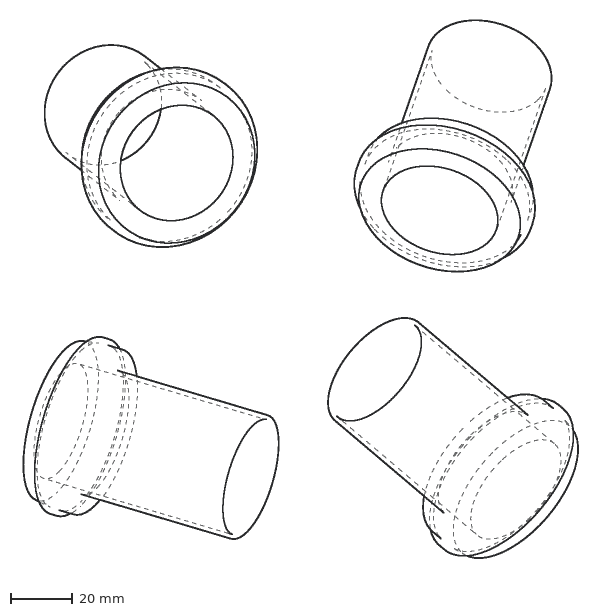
import cadquery as cq

total_length = 69.0
bore_radius = 39.0 / 2
tube_radius = 42.0 / 2
shoulder_radius = 56.0 / 2
collar_radius = 60.0 / 2

shoulder_start = 55.05
collar_start = 60.5
collar_end = 63.5
cone_large_radius = 27.9
cone_small_radius = 27.05

edge_round = 0.3
bore_edge_round = 0.15
root_fillet = 0.5
collar_root_fillet = 0.3

profile = [
    (0, bore_radius),
    (0, tube_radius),
    (shoulder_start, tube_radius),
    (shoulder_start, shoulder_radius),
    (collar_start, shoulder_radius),
    (collar_start, collar_radius),
    (collar_end, collar_radius),
    (collar_end, cone_large_radius),
    (total_length, cone_small_radius),
    (total_length, bore_radius),
]
body = cq.Workplane("XY").polyline(profile).close().revolve(360, (0, 0, 0), (1, 0, 0))


def fillet_rings(solid, rings, fillet_radius):
    """Fillet the circular edges lying at the given (x, radius) positions."""
    tolerance = 0.01

    def is_listed(edge):
        if edge.geomType() != "CIRCLE":
            return False
        x = edge.Center().x
        radius = edge.radius()
        return any(abs(x - rx) < tolerance and abs(radius - rr) < tolerance for rx, rr in rings)

    edges = solid.edges().filter(is_listed)
    return edges.fillet(fillet_radius)


outer_corners = [
    (0, tube_radius),
    (shoulder_start, shoulder_radius),
    (collar_start, collar_radius),
    (collar_end, collar_radius),
]
body = fillet_rings(body, outer_corners, edge_round)

step_roots = [
    (shoulder_start, tube_radius),
    (collar_end, cone_large_radius),
]
body = fillet_rings(body, step_roots, root_fillet)
body = fillet_rings(body, [(collar_start, shoulder_radius)], collar_root_fillet)

body = fillet_rings(body, [(0, bore_radius)], bore_edge_round)

result = body